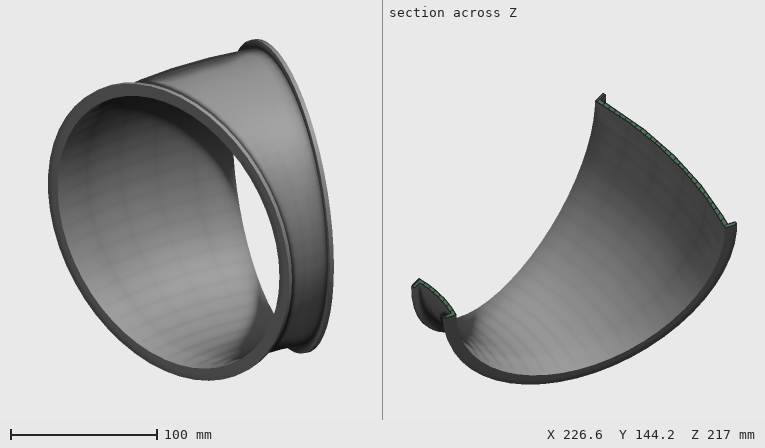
import cadquery as cq

bend_radius = 180.0
bend_angle = 30
bore_diameter = 199.5
wall = 3.0
flange_diameter = 217.0
flange_thickness = 3.0

pipe_diameter = bore_diameter + 2 * wall


def bent_rod(diameter):
    """Solid round bar following the elbow's centreline from the origin."""
    return (
        cq.Workplane("XZ")
        .circle(diameter / 2)
        .revolve(bend_angle, (bend_radius, 0), (bend_radius, -1))
    )


def flange_disc():
    """Disc with its outer face on Y = 0, lying inside the elbow's length."""
    return cq.Workplane("XZ").circle(flange_diameter / 2).extrude(-flange_thickness)


bend_axis_start = (bend_radius, 0, 0)
bend_axis_end = (bend_radius, 0, 1)
inlet_flange = flange_disc()
outlet_flange = (
    flange_disc()
    .mirror("XZ")
    .rotate(bend_axis_start, bend_axis_end, -bend_angle)
)

elbow = bent_rod(pipe_diameter).union(inlet_flange).union(outlet_flange)
result = elbow.cut(bent_rod(bore_diameter))